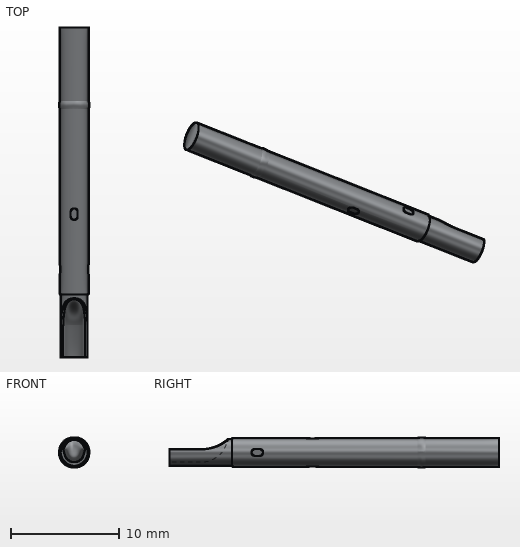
import cadquery as cq
import math

length = 30.48
body_radius = 1.35
cup_radius = 1.25

shoulder_start = 5.80
shoulder_round = 0.15
round_center_radius = body_radius - shoulder_round
round_start_angle = math.acos((cup_radius - round_center_radius) / shoulder_round)
shoulder_end = shoulder_start + shoulder_round * math.sin(round_start_angle)

ring_radius = 1.41
ring_width = 0.75
ring_center = length - 7.17
ring_front = ring_center - ring_width / 2
ring_back = ring_center + ring_width / 2

open_length = 2.95
rim_height = 0.30
rim_sweep_radius = 3.8

channel_radius = 0.90
wall_draft = math.radians(15)
floor_sweep_radius = 2.45
channel_top = floor_sweep_radius - channel_radius

dimple_length = 1.05
dimple_width = 0.65
dimple_depth = 0.05
vertical_pair_position = length - 17.25
side_pair_position = length - 22.35


def make_blank():
    """Revolve the stepped outline, given as (radius, Y), around the pin axis."""
    half_angle = round_start_angle / 2
    round_middle = (
        round_center_radius + shoulder_round * math.cos(half_angle),
        shoulder_end - shoulder_round * math.sin(half_angle),
    )
    return (
        cq.Workplane("XY")
        .moveTo(0, 0)
        .lineTo(cup_radius, 0)
        .lineTo(cup_radius, shoulder_start)
        .threePointArc(round_middle, (body_radius, shoulder_end))
        .lineTo(body_radius, ring_front)
        .threePointArc((ring_radius, ring_center), (body_radius, ring_back))
        .lineTo(body_radius, length)
        .lineTo(0, length)
        .close()
        .revolve(360, (0, 0, 0), (0, 1, 0))
    )


def make_rim_cut():
    """Volume above the rim: flat at the tip, then a concave arc up past the cup."""
    top = 2 * cup_radius
    arc_center = rim_height + rim_sweep_radius

    def arc_point(height):
        drop = arc_center - height
        reach = math.sqrt(rim_sweep_radius**2 - drop**2)
        return open_length + reach, height

    return (
        cq.Workplane("YZ")
        .moveTo(0, rim_height)
        .lineTo(open_length, rim_height)
        .threePointArc(arc_point((rim_height + cup_radius) / 2), arc_point(cup_radius))
        .lineTo(arc_point(cup_radius)[0], top)
        .lineTo(0, top)
        .close()
        .extrude(cup_radius, both=True)
    )


def channel_section(start):
    """Cross-section on the plane Y = start: floor arc with walls tangent to its ends."""
    arc_end_x = channel_radius * math.cos(wall_draft)
    arc_end_z = -channel_radius * math.sin(wall_draft)
    top_x = arc_end_x + (channel_top - arc_end_z) * math.tan(wall_draft)
    return (
        cq.Workplane("XZ", origin=(0, start, 0))
        .moveTo(-top_x, channel_top)
        .lineTo(-arc_end_x, arc_end_z)
        .threePointArc((0, -channel_radius), (arc_end_x, arc_end_z))
        .lineTo(top_x, channel_top)
        .close()
    )


def make_channel():
    """Straight channel from the tip, then swept up around a cross axis."""
    straight = channel_section(open_length).extrude(open_length)
    swept = channel_section(open_length).revolve(90, (0, channel_top, 0), (1, channel_top, 0))
    return straight.union(swept)


def make_dimple(position, angle):
    """Slot-shaped cutter at a Y position, turned around the pin axis from +Z."""
    return (
        cq.Workplane("XY", origin=(0, position, body_radius - dimple_depth))
        .slot2D(dimple_length, dimple_width, 90)
        .extrude(2 * dimple_depth)
        .rotate((0, 0, 0), (0, 1, 0), angle)
    )


result = make_blank().cut(make_rim_cut()).cut(make_channel())
for pair_position, first_angle in ((vertical_pair_position, 0), (side_pair_position, 90)):
    for opposite in (0, 180):
        result = result.cut(make_dimple(pair_position, first_angle + opposite))